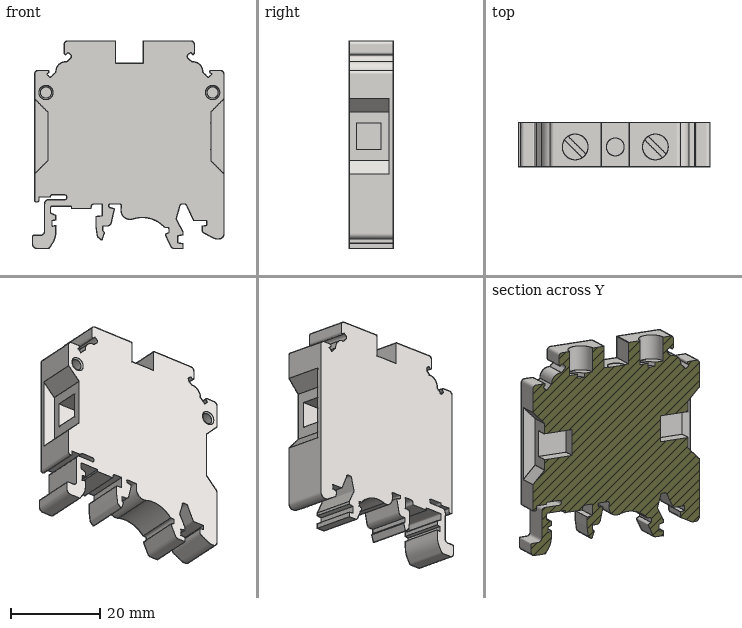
import cadquery as cq
import math

height = 46.65
thickness = 10.0
body_half_width = 21.25
foot_left = -21.75

notch_half_width = 3.1
notch_floor = 41.6
notch_bevel = 0.1

screw_spacing = 18.0
screw_axis_y = -0.5
screw_bore_diameter = 5.8
screw_bore_depth = 5.6
slot_width = 1.15
slot_depth = 0.95
slot_angle = -45

seat_diameter = 4.0
seat_depth = 0.1

entry_center_z = 25.2
entry_depth = 3.0
entry_outer_height = 16.9
entry_floor_height = entry_outer_height - 2 * entry_depth
entry_wall = 1.03
socket_width = 5.5
socket_height = 5.95
socket_depth = 7

pin_hole_x = 18.7
pin_hole_z = 35.05
pin_hole_diameter = 2.5
pin_hole_depth = 3.25
pin_rim_diameter = 3.2

shoulder = [
    (-body_half_width, 40.03, 0.9),
    (-17.5, 40.03, 0.33),
    (-18.5, 39.15),
    (-17.75, 38.4),
    (-16.5, 39.6),
    (-16.5, 42, 2.35),
    (-14, 42),
    (-12.75, 43.15, 0.55),
    (-13.75, 44.0),
    (-14.27, 43.5),
    (-14.65, 43.7, 0.55),
    (-14.65, height, 0.9),
]

notch = [
    (-notch_half_width - notch_bevel, height),
    (-notch_half_width, height - notch_bevel),
    (-notch_half_width, notch_floor),
    (notch_half_width, notch_floor),
    (notch_half_width, height - notch_bevel),
    (notch_half_width + notch_bevel, height),
]

right_foot = [
    (body_half_width, 2.15, 1.15),
    (19.3, 2.15, 1.4),
    (16.35, 3.7, 0.85),
    (16.35, 5.05),
    (17.35, 5.22),
    (17.35, 6.25),
    (14.45, 6.25, 0.3),
    (12.7, 10.0, 0.45),
    (11.48, 10.0, 0.35),
]

right_hook = [
    (10.55, 6.65, 0.25),
    (12.1, 3.75),
    (12.1, 3.1),
    (10.9, 2.85),
    (10.9, 1.3),
    (12.1, 1.1),
    (12.1, 0),
    (9.55, 0, 0.85),
    (8.02, 3.15, 0.2),
    (8.85, 3.6),
    (8.85, 4.7, 0.25),
]

belly = [
    (8.0, 4.7),
    (4.6, 7.9, 6.7),
    (-2.0, 5.7, 2.05),
    (-1.8, 10.0, 0.3),
]

middle_hook = [
    (-4.55, 10.0, 0.25),
    (-4.55, 9.3, 0.25),
    (-3.3, 8.95, 0.2),
    (-4.2, 5.05, 1.03),
    (-5.92, 5.05),
    (-5.92, 4.0),
    (-5.55, 3.6),
    (-6.15, 1.8, 0.2),
    (-7.2, 2.7, 0.7),
    (-7.5, 5.0),
    (-7.5, 7.25),
    (-6.1, 7.35),
    (-6.1, 10.0),
]

left_foot = [
    (-8.45, 10.0, 0.55),
    (-8.6, 8.95, 0.2),
    (-13.0, 8.95),
    (-13.0, 9.45),
    (-17.7, 9.45, 0.3),
    (-17.7, 8.0, 0.3),
    (-16.45, 7.45, 0.2),
    (-16.45, 6.45),
    (-17.3, 6.25),
    (-17.3, 5.05),
    (-16.45, 5.22),
    (-16.45, 2.35, 4.65),
    (-18.0, 0, 0.55),
    (foot_left, 0, 1.03),
    (foot_left, 3.05, 0.35),
    (-19.05, 3.05, 0.85),
    (-19.05, 11.0, 0.95),
    (-14.05, 11.0, 0.45),
    (-14.05, 12.05, 0.45),
    (-17.7, 12.05, 0.25),
    (-17.7, 11.55, 0.2),
    (-20.25, 11.55),
    (-20.25, 10.4, 0.45),
    (-body_half_width, 10.4, 0.45),
]


def mirrored(corners):
    """Corners reflected across X = 0, in reverse so the path direction is kept."""
    return [(-corner[0], *corner[1:]) for corner in reversed(corners)]


def rounding(before, corner, after):
    """Start, middle and end of the arc that rounds a corner, or the bare corner if it is sharp."""
    x, z = corner[:2]
    if len(corner) == 2:
        return [(x, z)]
    radius = corner[2]
    angle_in = math.atan2(before[1] - z, before[0] - x)
    angle_out = math.atan2(after[1] - z, after[0] - x)
    half_opening = math.acos(math.cos(angle_out - angle_in)) / 2
    tangent_length = radius / math.tan(half_opening)
    middle_distance = radius / math.sin(half_opening) - radius
    bisector_x = math.cos(angle_in) + math.cos(angle_out)
    bisector_z = math.sin(angle_in) + math.sin(angle_out)
    bisector = math.hypot(bisector_x, bisector_z)
    return [
        (x + tangent_length * math.cos(angle_in), z + tangent_length * math.sin(angle_in)),
        (x + middle_distance * bisector_x / bisector, z + middle_distance * bisector_z / bisector),
        (x + tangent_length * math.cos(angle_out), z + tangent_length * math.sin(angle_out)),
    ]


def rounded_outline(corners):
    """Closed XZ wire through the corners, with an arc at each rounded one."""
    path = cq.Workplane("XZ")
    for index, corner in enumerate(corners):
        following = corners[(index + 1) % len(corners)]
        points = rounding(corners[index - 1], corner, following)
        path = path.moveTo(*points[0]) if index == 0 else path.lineTo(*points[0])
        if len(points) > 1:
            path = path.threePointArc(points[1], points[2])
    return path.close()


def housing():
    corners = (shoulder + notch + mirrored(shoulder) + right_foot + right_hook
               + belly + middle_hook + left_foot)
    return rounded_outline(corners).extrude(thickness / 2, both=True)


def screw_bore(x):
    """Blind bore with a screwdriver slot sunk into its floor."""
    bore_floor = height - screw_bore_depth
    bore = cq.Workplane("XY", origin=(x, screw_axis_y, bore_floor)).circle(screw_bore_diameter / 2)
    bore = bore.extrude(screw_bore_depth)
    slot = cq.Workplane("XY").box(screw_bore_diameter, slot_width, slot_depth)
    slot = slot.rotate((0, 0, 0), (0, 0, 1), slot_angle)
    slot = slot.translate((x, screw_axis_y, bore_floor - slot_depth / 2))
    screw_head = cq.Workplane("XY", origin=(x, screw_axis_y, bore_floor - slot_depth))
    screw_head = screw_head.circle(screw_bore_diameter / 2).extrude(slot_depth)
    return bore.union(slot.intersect(screw_head))


def notch_seat():
    seat = cq.Workplane("XY", origin=(0, screw_axis_y, notch_floor - seat_depth))
    return seat.circle(seat_diameter / 2).extrude(seat_depth)


def wire_entry(side):
    """Recess open to the -Y face plus its socket; side is -1 for the left end, 1 for the right."""
    outer_x = side * body_half_width
    floor_x = side * (body_half_width - entry_depth)
    recess = cq.Workplane("XZ", origin=(0, thickness / 2 - entry_wall, 0)).polyline([
        (outer_x, entry_center_z - entry_outer_height / 2),
        (floor_x, entry_center_z - entry_floor_height / 2),
        (floor_x, entry_center_z + entry_floor_height / 2),
        (outer_x, entry_center_z + entry_outer_height / 2),
    ]).close().extrude(thickness - entry_wall)
    socket = cq.Workplane("XY").box(socket_depth, socket_width, socket_height)
    socket = socket.translate((floor_x - side * socket_depth / 2, screw_axis_y, entry_center_z))
    return recess.union(socket)


def pin_hole(x):
    """Blind hole from the -Y face with a 45 degree countersunk rim."""
    face = cq.Workplane("XZ", origin=(x, -thickness / 2, pin_hole_z))
    hole = face.circle(pin_hole_diameter / 2).extrude(-pin_hole_depth)
    rim_depth = (pin_rim_diameter - pin_hole_diameter) / 2
    rim = face.circle(pin_rim_diameter / 2).extrude(-rim_depth, taper=45)
    return hole.union(rim)


result = housing().cut(notch_seat())
for side in (-1, 1):
    result = result.cut(screw_bore(side * screw_spacing / 2))
    result = result.cut(wire_entry(side))
    result = result.cut(pin_hole(side * pin_hole_x))